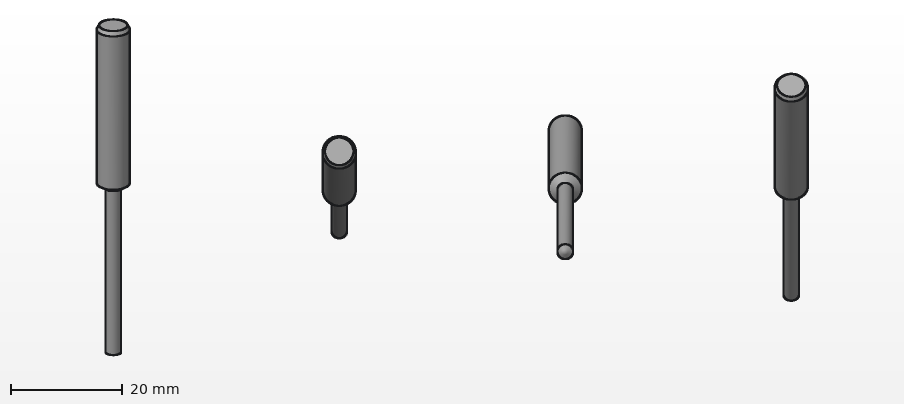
import cadquery as cq
import math

total_length = 65.0
shank_diameter = 6.0
drill_diameter = 2.85

neck_z = 32.95
shoulder_angle = 33.0
top_chamfer_height = 0.85
top_chamfer_width = 0.45

point_angle = 130.0

shank_radius = shank_diameter / 2
drill_radius = drill_diameter / 2
shoulder_height = (shank_radius - drill_radius) * math.tan(math.radians(shoulder_angle))
point_height = drill_radius / math.tan(math.radians(point_angle / 2))


def turned(profile):
    """Revolve a closed (radius, Z) outline about the Z axis."""
    return cq.Workplane("XZ").polyline(profile).close().revolve(360, (0, 0), (0, 1))


def make_shank():
    """Cylindrical shank with a chamfered top and a conical shoulder below."""
    return turned([
        (0, neck_z),
        (drill_radius, neck_z),
        (shank_radius, neck_z + shoulder_height),
        (shank_radius, total_length - top_chamfer_height),
        (shank_radius - top_chamfer_width, total_length),
        (0, total_length),
    ])


def make_drill():
    """Thin rod with a conical point, butting against the shank."""
    return turned([
        (0, 0),
        (drill_radius, point_height),
        (drill_radius, neck_z),
        (0, neck_z),
    ])


shank = make_shank()
drill = make_drill()

result = cq.Compound.makeCompound([shank.val(), drill.val()])